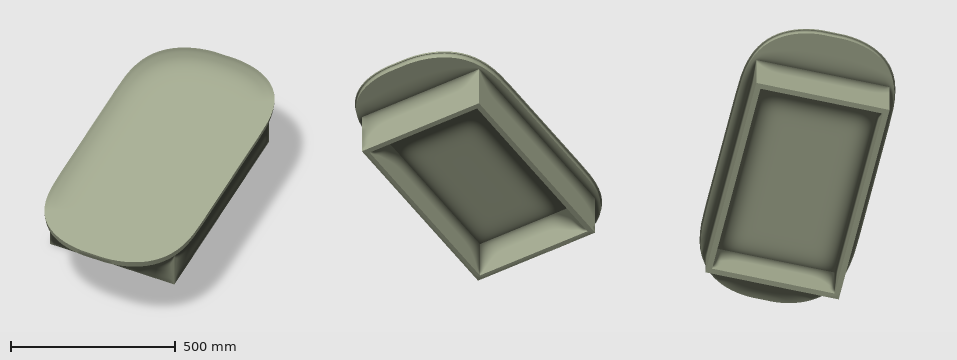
import cadquery as cq

total_length = 950.0
total_width = 480.0
total_height = 162.0

cap_thickness = 5.0
backing_thickness = 17.0
backing_inset = 3.3
end_straight_length = 61.0
side_straight_length = 399.0
end_handle = 8.0
side_handle = 127.0

box_length = 680.0
box_width = 416.0
panel_thickness = 17.0
deck_thickness = 11.0

cap_bottom = total_height - cap_thickness
box_height = cap_bottom - backing_thickness
deck_bottom = box_height - deck_thickness
inner_width = box_width - 2 * panel_thickness


def corner_curve(half_width, half_length, x_sign, y_sign):
    """Soft corner running tangentially from the straight side to the straight end."""
    end_x = end_straight_length / 2
    side_y = side_straight_length / 2
    control_points = [
        (half_width, side_y),
        (half_width, side_y + side_handle),
        (half_width, half_length),
        (end_x + end_handle, half_length),
        (end_x, half_length),
    ]
    return cq.Edge.makeBezier([cq.Vector(x_sign * x, y_sign * y, 0) for x, y in control_points])


def rounded_board(inset, bottom, thickness):
    """Flat board with the soft-cornered outline, inset from the overall outline."""
    half_width = total_width / 2 - inset
    half_length = total_length / 2 - inset
    end_x = end_straight_length / 2
    side_y = side_straight_length / 2
    edges = []
    for sign in (-1, 1):
        edges.append(cq.Edge.makeLine(
            cq.Vector(sign * half_width, -side_y, 0),
            cq.Vector(sign * half_width, side_y, 0),
        ))
        edges.append(cq.Edge.makeLine(
            cq.Vector(-end_x, sign * half_length, 0),
            cq.Vector(end_x, sign * half_length, 0),
        ))
        for y_sign in (-1, 1):
            edges.append(corner_curve(half_width, half_length, sign, y_sign))
    outline = cq.Wire.assembleEdges(edges)
    board = cq.Solid.extrudeLinear(outline, [], cq.Vector(0, 0, thickness))
    return cq.Workplane(board.translate(cq.Vector(0, 0, bottom)))


def standing_block(size_x, size_y, size_z, center_x, center_y, bottom):
    """Plain rectangular panel, centred in plan and resting on the given level."""
    block = cq.Workplane("XY").box(size_x, size_y, size_z, centered=(True, True, False))
    return block.translate((center_x, center_y, bottom))


def side_panel(side):
    """Full-height panel along one X side of the box."""
    center_x = side * (box_width - panel_thickness) / 2
    return standing_block(panel_thickness, box_length, box_height, center_x, 0, 0)


def end_panel(side):
    """Panel closing one Y end between the side panels, below the deck."""
    center_y = side * (box_length - panel_thickness) / 2
    return standing_block(inner_width, panel_thickness, deck_bottom, 0, center_y, 0)


cap = rounded_board(0, cap_bottom, cap_thickness)
backing_board = rounded_board(backing_inset, box_height, backing_thickness)
deck = standing_block(inner_width, box_length, deck_thickness, 0, 0, deck_bottom)
side_panels = [side_panel(side) for side in (-1, 1)]
end_panels = [end_panel(side) for side in (-1, 1)]

result = cq.Compound.makeCompound([
    cap.val(),
    backing_board.val(),
    deck.val(),
    *[panel.val() for panel in side_panels],
    *[panel.val() for panel in end_panels],
])